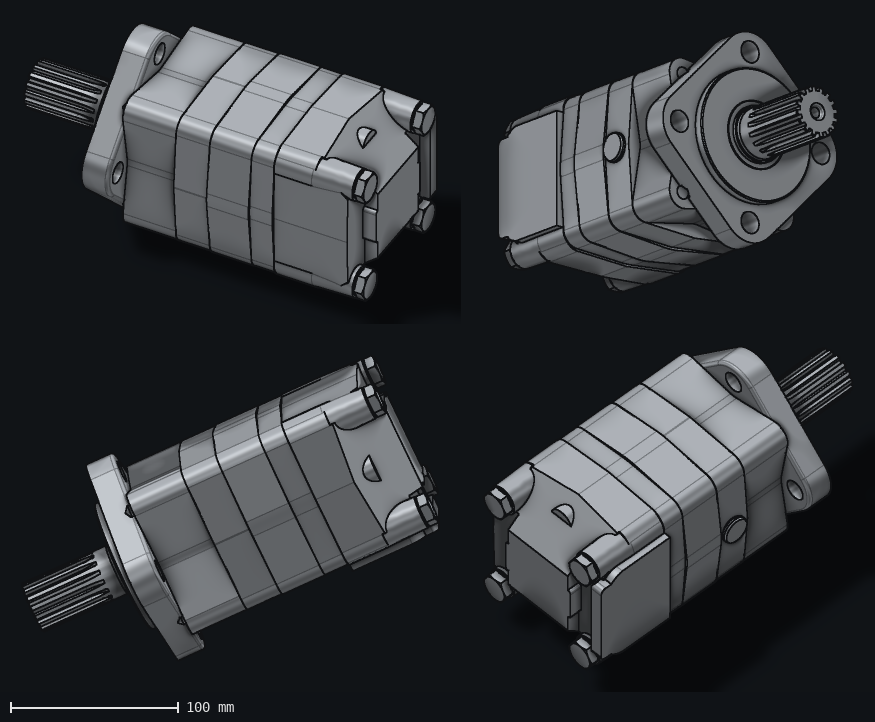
import cadquery as cq
import math


SHAFT_TIP = -65.6
SPLINE_FULL_END = -30.2
SHOULDER_START = -10.2
COLLAR_FRONT = -8.5
PILOT_FRONT = -6.1
FLANGE_BACK = 17.9
NECK_BACK = 53.8
HOUSING_BACK = 76.7
GEAR_SET_BACK = 104.9
PLATE_BACK = 120.2
SLOPE_START = 145.6
BOSS_START = 145.5
CORNER_END = 147.0
CHECK_VALVE_END = 159.5
FACE_BACK = 169.8
BOSS_BACK = 172.6
PAD_BACK = 177.0
COVER_BACK = 178.7
BOLT_END = 179.6

BOLT_OFFSET = 36.9
BOLT_POSITIONS = [(y, z) for y in (-BOLT_OFFSET, BOLT_OFFSET) for z in (-BOLT_OFFSET, BOLT_OFFSET)]
BOLT_DIAMETER = 10.0
CLEARANCE_DIAMETER = 10.5
BOLT_STEP = NECK_BACK
HEAD_ACROSS_FLATS = 17.4
HEAD_SEAT_DIAMETER = 16.9
HEAD_SEAT_THICKNESS = 0.9
HEAD_CHAMFER_ANGLE = 30
TAP_DRILL_DIAMETER = 8.38
TAP_DRILL_END = 15.1
DRILL_POINT_ANGLE = 118

SHAFT_DIAMETER = 31.75
COLLAR_DIAMETER = 35.2
SHOULDER_DIAMETER = 33.2
SHAFT_CHAMFER = 0.6
SPLINE_COUNT = 16
SPLINE_ROOT_RADIUS = 12.9
SPLINE_ROOT_WIDTH = 2.2
SPLINE_TOP_WIDTH = 3.6
SPLINE_CUTTER_RADIUS = 24.0
SPLINE_CUT_MARGIN = 1.0
CENTRE_MOUTH_DIAMETER = 10.8
CENTRE_COUNTERSINK_DIAMETER = 8.38
CENTRE_COUNTERSINK_DEPTH = 1.2
CENTRE_DRILL_DIAMETER = 6.65
CENTRE_DRILL_DEPTH = 20.0

FLANGE_EXTENT = 131.31
FLANGE_CORNER_RADIUS = 20.5
FLANGE_FILLET = 2.2
FLANGE_HOLE_DIAMETER = 13.5
FLANGE_HOLE_OFFSET = 53.2
PILOT_DIAMETER = 82.5
PILOT_CHAMFER = 0.8
SEAL_GROOVE_RADIUS = 21.0
SEAL_GROOVE_WIDTH = 0.3
SEAL_GROOVE_DEPTH = 0.5

NECK_VALLEY = 40.9
NECK_CORNER_RADIUS = 10.0
NECK_VALLEY_HALF = 2.5
BEARING_RIDGE = 49.85
BEARING_CORNER_RADIUS = 10.2
BEARING_RIDGE_HALF = 0.3
GEAR_SET_RIDGE = 51.6
GEAR_SET_CORNER_RADIUS = 10.6
PLATE_RIDGE = 50.05
PLATE_CORNER_RADIUS = 10.4
ROUNDED_RIDGE_HALF = 4.8

COVER_RIDGE_Y = 48.1
COVER_RIDGE_Z = 51.35
COVER_CORNER_Y = 36.0
COVER_CORNER_Z = 37.8
COVER_CORNER_RADIUS = 11.0
COVER_SLOPE = 0.82
CORNER_CUT_SIZE = 20.0
CORNER_CUT_CENTRES = [
    (y + math.copysign(CORNER_CUT_SIZE / 2, y), z + math.copysign(CORNER_CUT_SIZE / 2, z))
    for y, z in BOLT_POSITIONS
]
BOSS_START_DIAMETER = 21.8
BOSS_END_DIAMETER = 20.2
HEAD_CLEARANCE_DIAMETER = 21.0
TAIL_HALF_WIDTH = 25.8
TAIL_RIB_HALF = 12.0
TAIL_RIB_HEIGHT = 2.2
CHECK_VALVE_DIAMETER = 18.0
CHECK_VALVE_HEIGHT = 36.9
PORT_FACE_Y = 52.7
PORT_PAD_BASE_Y = 44.0
PORT_PAD_HALF = 35.8
PORT_PAD_BEND = 159.4
PORT_PAD_NARROW_START = 168.5
PORT_PAD_NARROW_HALF = 31.0
PORT_PAD_BULGE = 1.0
PORT_PAD_ROUND = 3.9

PLUG_X = 65.75
PLUG_HEAD_DIAMETER = 18.0
PLUG_SHANK_DIAMETER = 16.9
PLUG_TOP_Y = 53.1
PLUG_BAND_TOP_Y = 51.6
PLUG_BAND_BOTTOM_Y = 50.1
PLUG_SEAT_Y = 47.0


def at_x(x):
    """Workplane across the axis at station x, with local axes Y and Z."""
    return cq.Workplane("YZ", origin=(x, 0, 0))


def cylinder(x_start, x_end, diameter, centres=((0, 0),)):
    return at_x(x_start).pushPoints(centres).circle(diameter / 2).extrude(x_end - x_start)


def revolve_about_x(profile):
    """Solid of revolution from (x, radius) points."""
    return cq.Workplane("XY").polyline(profile).close().revolve(360, (0, 0, 0), (1, 0, 0))


def face_tilt(ridge, along, across, radius):
    """Tilt of a flat running from the ridge point tangent to a corner arc."""
    rise = ridge - across
    return math.acos(radius / math.hypot(rise, along)) - math.atan2(along, rise)


def block(x_start, x_end, ridge_y, ridge_z, corner_y, corner_z, radius, ridge_half=0.0):
    """Four-sided block with round corners whose faces rise or dip towards their middle.

    ridge_half is the half width of the arc that rounds each ridge or valley.
    """
    tilt_y = face_tilt(ridge_y, corner_z, corner_y, radius)
    tilt_z = face_tilt(ridge_z, corner_y, corner_z, radius)
    corner_arc = [
        (corner_y + radius * math.cos(tilt_y), corner_z + radius * math.sin(tilt_y)),
        (corner_y + radius * math.sqrt(0.5), corner_z + radius * math.sqrt(0.5)),
        (corner_y + radius * math.sin(tilt_z), corner_z + radius * math.cos(tilt_z)),
    ]

    def ridge_foot(ridge, tilt):
        return ridge - ridge_half * math.tan(tilt)

    def ridge_crown(ridge, tilt):
        return ridge_foot(ridge, tilt) + ridge_half * math.tan(tilt / 2)

    foot_y, crown_y = ridge_foot(ridge_y, tilt_y), ridge_crown(ridge_y, tilt_y)
    foot_z, crown_z = ridge_foot(ridge_z, tilt_z), ridge_crown(ridge_z, tilt_z)

    outline = at_x(x_start).moveTo(foot_y, ridge_half)
    for side_y, side_z in ((1, 1), (-1, 1), (-1, -1), (1, -1)):
        arc = [(side_y * y, side_z * z) for y, z in corner_arc]
        if side_y == side_z:
            ridge_end = (side_y * ridge_half, side_z * foot_z)
            ridge_top = (0, side_z * crown_z)
            next_start = (-side_y * ridge_half, side_z * foot_z)
        else:
            arc.reverse()
            ridge_end = (side_y * foot_y, side_z * ridge_half)
            ridge_top = (side_y * crown_y, 0)
            next_start = (side_y * foot_y, -side_z * ridge_half)
        outline = outline.lineTo(*arc[0]).threePointArc(arc[1], arc[2]).lineTo(*ridge_end)
        if ridge_half > 0:
            outline = outline.threePointArc(ridge_top, next_start)
    return outline.close().extrude(x_end - x_start)


def square_block(x_start, x_end, ridge, radius, ridge_half):
    return block(x_start, x_end, ridge, ridge, BOLT_OFFSET, BOLT_OFFSET, radius, ridge_half)


def spline_gap():
    """Trapezoidal tooth gap at the top of the shaft, with the run-out left by a disc cutter."""
    depth = SHAFT_DIAMETER / 2 - SPLINE_ROOT_RADIUS
    reach = depth + SPLINE_CUT_MARGIN
    flare = (SPLINE_TOP_WIDTH - SPLINE_ROOT_WIDTH) / 2 / depth
    root_half = SPLINE_ROOT_WIDTH / 2
    top_half = root_half + flare * reach
    section = [
        (-root_half, SPLINE_ROOT_RADIUS),
        (root_half, SPLINE_ROOT_RADIUS),
        (top_half, SPLINE_ROOT_RADIUS + reach),
        (-top_half, SPLINE_ROOT_RADIUS + reach),
    ]
    length = SPLINE_FULL_END - SHAFT_TIP
    straight = at_x(SHAFT_TIP).polyline(section).close().extrude(length)
    cutter_axis_height = SPLINE_ROOT_RADIUS + SPLINE_CUTTER_RADIUS
    run_out = (
        at_x(SPLINE_FULL_END).polyline(section).close()
        .revolve(90, (1, cutter_axis_height), (0, cutter_axis_height))
    )
    return straight.union(run_out)


def make_shaft():
    shaft_radius = SHAFT_DIAMETER / 2
    collar_radius = COLLAR_DIAMETER / 2
    shaft = revolve_about_x([
        (SHAFT_TIP, 0),
        (SHAFT_TIP, shaft_radius - SHAFT_CHAMFER),
        (SHAFT_TIP + SHAFT_CHAMFER, shaft_radius),
        (SHOULDER_START, shaft_radius),
        (COLLAR_FRONT, SHOULDER_DIAMETER / 2),
        (COLLAR_FRONT, collar_radius),
        (NECK_BACK, collar_radius),
        (NECK_BACK, 0),
    ])
    gap = spline_gap()
    for index in range(SPLINE_COUNT):
        shaft = shaft.cut(gap.rotate((0, 0, 0), (1, 0, 0), index * 360 / SPLINE_COUNT))

    drill_radius = CENTRE_DRILL_DIAMETER / 2
    drill_end = SHAFT_TIP + CENTRE_DRILL_DEPTH
    drill_point = drill_radius / math.tan(math.radians(DRILL_POINT_ANGLE / 2))
    centre_hole = revolve_about_x([
        (SHAFT_TIP, 0),
        (SHAFT_TIP, CENTRE_MOUTH_DIAMETER / 2),
        (SHAFT_TIP + CENTRE_COUNTERSINK_DEPTH, CENTRE_COUNTERSINK_DIAMETER / 2),
        (SHAFT_TIP + 2 * CENTRE_COUNTERSINK_DEPTH, drill_radius),
        (drill_end, drill_radius),
        (drill_end + drill_point, 0),
    ])
    return shaft.cut(centre_hole)


def make_flange():
    corner_centre = FLANGE_EXTENT / 2 - FLANGE_CORNER_RADIUS
    side = math.sqrt(2) * corner_centre + 2 * FLANGE_CORNER_RADIUS
    flange = (
        at_x(0).transformed(rotate=(0, 0, 45)).rect(side, side).extrude(FLANGE_BACK)
        .edges("|X").fillet(FLANGE_CORNER_RADIUS)
        .faces(">X").edges().fillet(FLANGE_FILLET)
    )
    offset = FLANGE_HOLE_OFFSET
    holes = cylinder(0, FLANGE_BACK, FLANGE_HOLE_DIAMETER,
                     [(offset, 0), (-offset, 0), (0, offset), (0, -offset)])
    return flange.cut(holes)


def make_tap_drilling(y, z):
    radius = TAP_DRILL_DIAMETER / 2
    point = radius / math.tan(math.radians(DRILL_POINT_ANGLE / 2))
    return revolve_about_x([
        (TAP_DRILL_END - point, 0),
        (TAP_DRILL_END, radius),
        (NECK_BACK, radius),
        (NECK_BACK, 0),
    ]).translate((0, y, z))


def make_housing():
    pilot = cylinder(PILOT_FRONT, 0, PILOT_DIAMETER).faces("<X").chamfer(PILOT_CHAMFER)
    neck = square_block(FLANGE_BACK, NECK_BACK, NECK_VALLEY, NECK_CORNER_RADIUS, NECK_VALLEY_HALF)
    bearing_section = square_block(NECK_BACK, HOUSING_BACK, BEARING_RIDGE,
                                   BEARING_CORNER_RADIUS, BEARING_RIDGE_HALF)
    housing = make_flange().union(pilot).union(neck).union(bearing_section)
    housing = housing.cut(cylinder(PILOT_FRONT, NECK_BACK, COLLAR_DIAMETER))

    seal_groove = (
        at_x(PILOT_FRONT)
        .circle(SEAL_GROOVE_RADIUS + SEAL_GROOVE_WIDTH / 2)
        .circle(SEAL_GROOVE_RADIUS - SEAL_GROOVE_WIDTH / 2)
        .extrude(SEAL_GROOVE_DEPTH)
    )
    housing = housing.cut(seal_groove)

    housing = housing.cut(cylinder(BOLT_STEP, HOUSING_BACK, BOLT_DIAMETER, BOLT_POSITIONS))
    for y, z in BOLT_POSITIONS:
        housing = housing.cut(make_tap_drilling(y, z))
    plug_hole = (
        cq.Workplane("XZ", origin=(PLUG_X, PLUG_SEAT_Y, 0))
        .circle(PLUG_SHANK_DIAMETER / 2).extrude(PLUG_SEAT_Y - PLUG_TOP_Y)
    )
    return housing.cut(plug_hole)


def make_drain_plug():
    shank_radius = PLUG_SHANK_DIAMETER / 2
    head_radius = PLUG_HEAD_DIAMETER / 2
    profile = [
        (0, PLUG_SEAT_Y),
        (shank_radius, PLUG_SEAT_Y),
        (shank_radius, BEARING_RIDGE),
        (head_radius, PLUG_BAND_BOTTOM_Y),
        (head_radius, PLUG_BAND_TOP_Y),
        (shank_radius, PLUG_TOP_Y),
        (0, PLUG_TOP_Y),
    ]
    plug = cq.Workplane("XY").polyline(profile).close().revolve(360, (0, 0, 0), (0, 1, 0))
    return plug.translate((PLUG_X, 0, 0))


def make_gear_set():
    gear_set = square_block(HOUSING_BACK, GEAR_SET_BACK, GEAR_SET_RIDGE,
                            GEAR_SET_CORNER_RADIUS, ROUNDED_RIDGE_HALF)
    return gear_set.cut(cylinder(HOUSING_BACK, GEAR_SET_BACK, CLEARANCE_DIAMETER, BOLT_POSITIONS))


def make_plate():
    plate = square_block(GEAR_SET_BACK, PLATE_BACK, PLATE_RIDGE,
                         PLATE_CORNER_RADIUS, ROUNDED_RIDGE_HALF)
    return plate.cut(cylinder(GEAR_SET_BACK, PLATE_BACK, CLEARANCE_DIAMETER, BOLT_POSITIONS))


def slope_height(x):
    return COVER_RIDGE_Z - COVER_SLOPE * (x - SLOPE_START)


def make_cover_core():
    """Block with sloped top and bottom, stepped in to a narrower tail at the back."""
    core = block(PLATE_BACK, FACE_BACK, COVER_RIDGE_Y, COVER_RIDGE_Z,
                 COVER_CORNER_Y, COVER_CORNER_Z, COVER_CORNER_RADIUS)
    core = core.cut(
        at_x(CORNER_END).pushPoints(CORNER_CUT_CENTRES)
        .rect(CORNER_CUT_SIZE, CORNER_CUT_SIZE).extrude(FACE_BACK - CORNER_END)
    )
    tail_length = COVER_BACK - PLATE_BACK
    tail = at_x(PLATE_BACK).rect(2 * TAIL_HALF_WIDTH, 2 * COVER_CORNER_Z).extrude(tail_length)
    rib = (
        at_x(PLATE_BACK)
        .rect(2 * (TAIL_HALF_WIDTH + TAIL_RIB_HEIGHT), 2 * TAIL_RIB_HALF).extrude(tail_length)
        .edges("|X").fillet(TAIL_RIB_HEIGHT)
    )
    envelope_width = 2 * COVER_RIDGE_Y
    envelope = (
        cq.Workplane("XZ", origin=(0, envelope_width / 2, 0))
        .polyline([
            (PLATE_BACK, COVER_RIDGE_Z),
            (SLOPE_START, COVER_RIDGE_Z),
            (COVER_BACK, slope_height(COVER_BACK)),
            (COVER_BACK, -slope_height(COVER_BACK)),
            (SLOPE_START, -COVER_RIDGE_Z),
            (PLATE_BACK, -COVER_RIDGE_Z),
        ]).close().extrude(envelope_width)
    )
    return core.union(tail).union(rib).intersect(envelope)


def make_port_pad():
    """Flat pad for the oil ports on the +Y side, narrowing towards the back."""
    mid_bend = (PORT_PAD_BEND + PORT_PAD_NARROW_START) / 2
    mid_half = (PORT_PAD_HALF + PORT_PAD_NARROW_HALF) / 2 + PORT_PAD_BULGE
    pad = (
        cq.Workplane("XZ", origin=(0, PORT_FACE_Y, 0))
        .moveTo(PLATE_BACK, PORT_PAD_HALF)
        .lineTo(PORT_PAD_BEND, PORT_PAD_HALF)
        .threePointArc((mid_bend, mid_half), (PORT_PAD_NARROW_START, PORT_PAD_NARROW_HALF))
        .lineTo(PAD_BACK, PORT_PAD_NARROW_HALF)
        .lineTo(PAD_BACK, -PORT_PAD_NARROW_HALF)
        .lineTo(PORT_PAD_NARROW_START, -PORT_PAD_NARROW_HALF)
        .threePointArc((mid_bend, -mid_half), (PORT_PAD_BEND, -PORT_PAD_HALF))
        .lineTo(PLATE_BACK, -PORT_PAD_HALF)
        .close().extrude(PORT_FACE_Y - PORT_PAD_BASE_Y)
    )
    return pad.faces(">X").edges("|Y").fillet(PORT_PAD_ROUND)


def make_bolt_boss(y, z):
    """Straight column along the cover's corner that tapers once it stands clear of the slopes."""
    straight = cylinder(PLATE_BACK, BOSS_START, BOSS_START_DIAMETER, [(y, z)])
    tapered = (
        at_x(BOSS_START).center(y, z).circle(BOSS_START_DIAMETER / 2)
        .workplane(offset=BOSS_BACK - BOSS_START).circle(BOSS_END_DIAMETER / 2).loft()
    )
    return straight.union(tapered)


def make_cover():
    cover = make_cover_core().union(make_port_pad())
    for y, z in BOLT_POSITIONS:
        cover = cover.union(make_bolt_boss(y, z))

    barrels = cylinder(SLOPE_START, CHECK_VALVE_END, CHECK_VALVE_DIAMETER,
                       [(0, CHECK_VALVE_HEIGHT), (0, -CHECK_VALVE_HEIGHT)])
    cover = cover.union(barrels)

    cover = cover.cut(cylinder(BOSS_BACK, BOLT_END, HEAD_CLEARANCE_DIAMETER, BOLT_POSITIONS))
    return cover.cut(cylinder(PLATE_BACK, BOSS_BACK, CLEARANCE_DIAMETER, BOLT_POSITIONS))


def make_bolt(y, z):
    head_start = BOSS_BACK + HEAD_SEAT_THICKNESS
    corner_diameter = HEAD_ACROSS_FLATS / math.cos(math.pi / 6)
    overhang = (corner_diameter - HEAD_ACROSS_FLATS) / 2
    crown_drop = overhang * math.tan(math.radians(HEAD_CHAMFER_ANGLE))
    hexagon = at_x(head_start).polygon(6, corner_diameter).extrude(BOLT_END - head_start)
    chamfer_envelope = revolve_about_x([
        (head_start, 0),
        (head_start, corner_diameter / 2),
        (BOLT_END - crown_drop, corner_diameter / 2),
        (BOLT_END, HEAD_ACROSS_FLATS / 2),
        (BOLT_END, 0),
    ])
    bolt = cylinder(FLANGE_BACK, BOLT_STEP, TAP_DRILL_DIAMETER)
    bolt = bolt.union(cylinder(BOLT_STEP, head_start, BOLT_DIAMETER))
    bolt = bolt.union(cylinder(BOSS_BACK, head_start, HEAD_SEAT_DIAMETER))
    bolt = bolt.union(hexagon.intersect(chamfer_envelope))
    return bolt.translate((0, y, z))


shaft = make_shaft()
housing = make_housing()
drain_plug = make_drain_plug()
gear_set = make_gear_set()
plate = make_plate()
cover = make_cover()
bolts = [make_bolt(y, z) for y, z in BOLT_POSITIONS]

result = cq.Compound.makeCompound([
    shaft.val(),
    housing.val(),
    drain_plug.val(),
    gear_set.val(),
    plate.val(),
    cover.val(),
    *[bolt.val() for bolt in bolts],
])